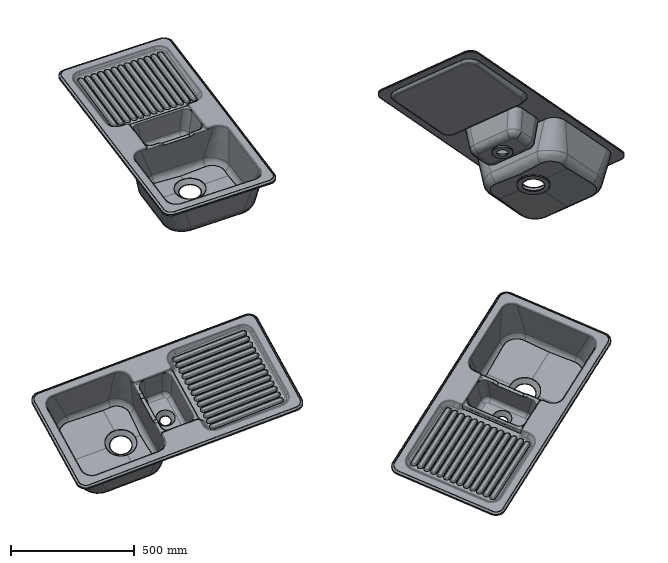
import cadquery as cq
import math


LENGTH = 1001.0
WIDTH = 510.0
TOTAL_DEPTH = 198.0
SHELL = 12.0
RIM_CORNER = 40.0
BEVEL_WIDTH = 9.0
BEVEL_DROP = 6.0
RIM_ROLL = 4.0

DRAINER_TOP = (-459.0, -82.0, 215.0, 46.0)
DRAINER_WALL_ANGLE = 40.0
DRAINER_DEPTH_LEFT = 13.0
DRAINER_DEPTH_RIGHT = 22.0
DRAINER_FLOOR_ROUND = 8.0
DRAINER_SKIRT = 18.0

RIB_COUNT = 13
RIB_PITCH = 30.0
RIB_LEFT = -433.0
RIB_RIGHT = -107.0
RIB_WIDTH = 26.0
RIB_HEIGHT = 6.0
RIB_SIDE_ANGLE = 45.0
RIB_TOP_ROUND = 2.0

MAIN_TOP = (90.0, 457.0, 212.0, 46.0)
MAIN_BOTTOM = (96.0, 434.0, 190.0, 84.0)
MAIN_DEPTH = 181.0
MAIN_FLOOR_ROUND = 34.0
MAIN_FLOOR_SLOPE = 0.015
MAIN_DRAIN_X = 206.0
MAIN_HOLE = 90.0
MAIN_RECESS = 129.0
MAIN_BOSS = 134.0

HALF_TOP = (-68.0, 75.0, 132.0, 30.0)
HALF_BOTTOM = (-54.0, 69.0, 110.0, 28.0)
HALF_DEPTH = 123.0
HALF_FLOOR_ROUND = 19.0
HALF_BOSS_DEPTH = 143.0
HALF_DRAIN_X = 8.0
HALF_HOLE = 46.0
HALF_RECESS = 78.0
HALF_BOSS = 84.0

CREST_DEPTH = 7.0
CREST_ROUND = 2.0
CREST_HALF_WIDTH = HALF_TOP[2]
CREST_LEFT = -80.0
CREST_FOOT = -88.0
CREST_FOOT_DEPTH = 26.0
OPENING_CORNER = 13.0
NOTCH_DEPTH = 14.0
NOTCH_HALF_TOP = 78.0
NOTCH_HALF_BOTTOM = 59.0
OVERLAP = 20.0


def rounded_outline(outline, z):
    """Closed wire of a rounded rectangle at height z, starting at the same corner every time."""
    left, right, half_width, radius = outline
    inset = radius * (1 - math.sqrt(0.5))
    return (
        cq.Workplane("XY", origin=(0, 0, z))
        .moveTo(left + radius, -half_width)
        .lineTo(right - radius, -half_width)
        .threePointArc((right - inset, -half_width + inset), (right, -half_width + radius))
        .lineTo(right, half_width - radius)
        .threePointArc((right - inset, half_width - inset), (right - radius, half_width))
        .lineTo(left + radius, half_width)
        .threePointArc((left + inset, half_width - inset), (left, half_width - radius))
        .lineTo(left, -half_width + radius)
        .threePointArc((left + inset, -half_width + inset), (left + radius, -half_width))
        .close()
    )


def grown(outline, offset):
    left, right, half_width, radius = outline
    return left - offset, right + offset, half_width + offset, radius + offset


def basin(top, top_depth, bottom, bottom_depth, floor_round):
    """Bowl-shaped solid with straight ruled walls and a rounded floor edge."""
    wires = [rounded_outline(bottom, -bottom_depth).wire().val(), rounded_outline(top, -top_depth).wire().val()]
    body = cq.Workplane(cq.Solid.makeLoft(wires, True))
    return body.faces("<Z").edges().fillet(floor_round)


def space_above_folded_floor(drain_x, depth):
    """Inverted pyramid whose faces fall towards the drain, creased along X and Y."""
    height = 2 * TOTAL_DEPTH
    reach = height / MAIN_FLOOR_SLOPE
    apex = cq.Vector(drain_x, 0, -depth)
    base = [
        apex + cq.Vector(x, y, height)
        for x, y in [(reach, 0), (0, reach), (-reach, 0), (0, -reach)]
    ]
    faces = [cq.Face.makeFromWires(cq.Wire.makePolygon(base, close=True))]
    for start, end in zip(base, base[1:] + base[:1]):
        faces.append(cq.Face.makeFromWires(cq.Wire.makePolygon([apex, start, end], close=True)))
    return cq.Workplane(cq.Solid.makeSolid(cq.Shell.makeShell(faces)))


def main_bowl(offset):
    """Main bowl, inside surface for offset 0 and outside surface for offset SHELL."""
    depth = MAIN_DEPTH + offset
    body = basin(grown(MAIN_TOP, offset), 0, grown(MAIN_BOTTOM, offset), depth, MAIN_FLOOR_ROUND + offset)
    return body.intersect(space_above_folded_floor(MAIN_DRAIN_X, depth))


def half_bowl(offset):
    """Half bowl below the partition crests, inside or outside surface as for the main bowl."""
    top = grown(HALF_TOP, offset)
    bottom = grown(HALF_BOTTOM, offset)
    return basin(top, CREST_DEPTH, bottom, HALF_DEPTH + offset, HALF_FLOOR_ROUND + offset)


def drainer_floor():
    """Workplane on the drainer floor, which falls towards the half bowl; origin at mid rib length."""
    left, right = DRAINER_TOP[:2]
    slope = (DRAINER_DEPTH_RIGHT - DRAINER_DEPTH_LEFT) / (right - left)
    middle = (RIB_LEFT + RIB_RIGHT) / 2
    depth = DRAINER_DEPTH_LEFT + slope * (middle - left)
    return cq.Workplane(cq.Plane((middle, 0, -depth)).rotated((0, math.degrees(math.atan(slope)), 0)))


def drainer_walls(growth):
    """Tapered drainer body, deeper than the drainer floor."""
    depth = DRAINER_DEPTH_RIGHT + SHELL + OVERLAP
    return rounded_outline(grown(DRAINER_TOP, growth), 0).extrude(-depth, taper=DRAINER_WALL_ANGLE)


def with_drainer_floor(body, drop):
    """Trim a body to the sloping plane drop below the drainer floor and round the floor edge."""
    plane = drainer_floor().workplane(offset=-drop)
    body = body.intersect(plane.rect(2 * LENGTH, 2 * WIDTH).extrude(LENGTH))
    floor = cq.selectors.DirectionMinMaxSelector(plane.plane.zDir, False)
    return body.faces(floor).edges().fillet(DRAINER_FLOOR_ROUND)


def ribs():
    spots = [(0, RIB_PITCH * (i - (RIB_COUNT - 1) / 2)) for i in range(RIB_COUNT)]
    bars = (
        drainer_floor()
        .pushPoints(spots)
        .slot2D(RIB_RIGHT - RIB_LEFT, RIB_WIDTH)
        .extrude(RIB_HEIGHT, taper=RIB_SIDE_ANGLE)
    )
    top = drainer_floor().plane.zDir
    return bars.faces(cq.selectors.DirectionMinMaxSelector(top, True)).edges().fillet(RIB_TOP_ROUND)


def passage(left, right, depth):
    """Straight-sided cutter as wide as the half bowl, open at the rim."""
    size = (right - left, 2 * CREST_HALF_WIDTH, depth)
    return cq.Workplane("XY").box(*size, centered=(False, True, False)).translate((left, 0, -depth))


def round_opening_corners(body, left, right):
    """Round the upright edges, between left and right, where a passage leaves a recess."""
    def is_corner(edge):
        box = edge.BoundingBox()
        on_side = box.ylen < 0.1 and abs(abs(box.center.y) - CREST_HALF_WIDTH) < 0.1
        return on_side and box.zmax > -0.1 and box.zlen > 1.0 and left < box.center.x < right

    corners = [edge for edge in body.edges().vals() if is_corner(edge)]
    return body.newObject(corners).fillet(OPENING_CORNER)


def drainer_crest():
    """Low wall left standing between drainer and half bowl."""
    right = HALF_TOP[0] + 2 * OVERLAP
    half_length = CREST_HALF_WIDTH + OVERLAP
    return (
        cq.Workplane("XZ", origin=(0, half_length, 0))
        .moveTo(CREST_FOOT, -CREST_FOOT_DEPTH)
        .lineTo(CREST_LEFT, -CREST_DEPTH)
        .lineTo(right, -CREST_DEPTH)
        .lineTo(right, -CREST_FOOT_DEPTH)
        .close()
        .extrude(2 * half_length)
    )


def overflow_notch():
    left = HALF_TOP[1] - OVERLAP
    right = MAIN_TOP[0] + OVERLAP
    return (
        cq.Workplane("YZ", origin=(left, 0, 0))
        .moveTo(-NOTCH_HALF_TOP, -CREST_DEPTH)
        .lineTo(-NOTCH_HALF_BOTTOM, -NOTCH_DEPTH)
        .lineTo(NOTCH_HALF_BOTTOM, -NOTCH_DEPTH)
        .lineTo(NOTCH_HALF_TOP, -CREST_DEPTH)
        .close()
        .extrude(right - left)
    )


def recesses():
    """Everything open to the top: drainer, half bowl, main bowl and the passages joining them."""
    drainer_right = DRAINER_TOP[1]
    main_left = MAIN_TOP[0]
    joint = HALF_TOP[0] + OVERLAP
    outlet = passage(drainer_right - 2 * OVERLAP, joint, CREST_FOOT_DEPTH)
    left_side = drainer_walls(0).union(outlet).clean()
    left_side = round_opening_corners(left_side, drainer_right - 2 * OVERLAP, drainer_right)
    left_side = with_drainer_floor(left_side, 0)
    right_side = main_bowl(0).union(passage(0, main_left + OVERLAP, CREST_DEPTH))
    right_side = round_opening_corners(right_side, main_left - OVERLAP, main_left + OVERLAP)
    return (
        left_side.cut(drainer_crest())
        .union(right_side)
        .union(passage(joint - OVERLAP, OVERLAP, CREST_DEPTH))
        .union(half_bowl(0))
        .union(overflow_notch())
        .clean()
    )


def drain_boss(x, diameter, floor_depth, boss_depth):
    return cq.Workplane("XY", origin=(x, 0, -boss_depth)).circle(diameter / 2).extrude(boss_depth - floor_depth)


def drain_opening(x, recess, hole, floor_depth, boss_depth):
    """Funnel from the recess in the floor down to the hole in the boss face."""
    height = boss_depth - floor_depth
    cone = cq.Solid.makeCone(hole / 2, recess / 2, height, cq.Vector(x, 0, -boss_depth))
    mouth = cq.Workplane("XY", origin=(x, 0, -floor_depth)).circle(recess / 2).extrude(SHELL)
    return mouth.union(cq.Workplane(cone))


def round_crests(body):
    """Round the edges of both partition crests, except along the side walls of the passage."""
    def is_crest_edge(edge):
        level = all(abs(vertex.Z + CREST_DEPTH) < 0.1 for vertex in edge.Vertices())
        return level and abs(abs(edge.Center().y) - CREST_HALF_WIDTH) > 0.2

    edges = [edge for edge in body.edges().vals() if is_crest_edge(edge)]
    return body.newObject(edges).fillet(CREST_ROUND)


def round_rim_opening(body):
    opening = body.faces(">Z").val().innerWires()[0]
    return body.newObject(opening.Edges()).fillet(RIM_ROLL)


rim = rounded_outline((-LENGTH / 2, LENGTH / 2, WIDTH / 2, RIM_CORNER), -SHELL).extrude(SHELL)
rim = rim.faces(">Z").chamfer(BEVEL_DROP, BEVEL_WIDTH)

sink = (
    rim.union(with_drainer_floor(drainer_walls(DRAINER_SKIRT), SHELL))
    .union(half_bowl(SHELL))
    .union(main_bowl(SHELL))
    .cut(recesses())
)
sink = round_rim_opening(round_crests(sink))

drains = [
    (MAIN_DRAIN_X, MAIN_BOSS, MAIN_RECESS, MAIN_HOLE, MAIN_DEPTH, TOTAL_DEPTH),
    (HALF_DRAIN_X, HALF_BOSS, HALF_RECESS, HALF_HOLE, HALF_DEPTH, HALF_BOSS_DEPTH),
]
for drain_x, boss, recess, hole, floor_depth, boss_depth in drains:
    sink = sink.union(drain_boss(drain_x, boss, floor_depth, boss_depth))
    sink = sink.cut(drain_opening(drain_x, recess, hole, floor_depth, boss_depth))

result = sink.union(ribs())